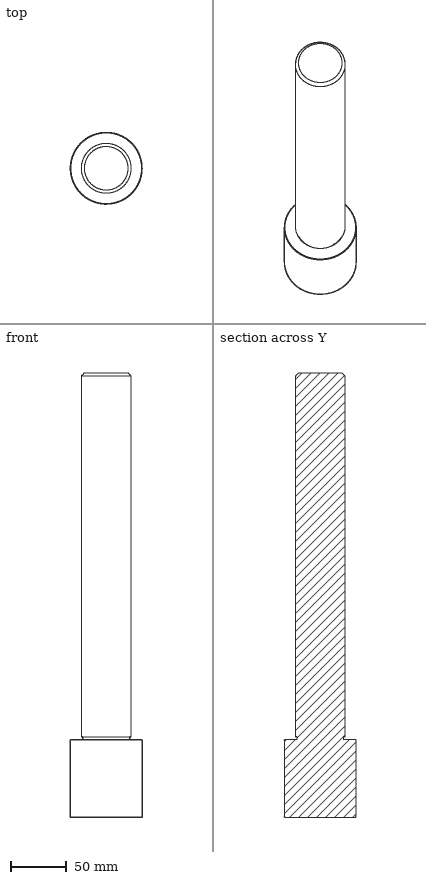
import cadquery as cq

total_height = 400.0
head_diameter = 65.0
head_height = 70.5
head_edge_chamfer = 0.6
shank_diameter = 45.0
shank_tip_chamfer = 3.0
neck_height = 2.5
neck_diameter = 42.5


def make_head():
    """Cylindrical head with both rims lightly broken."""
    head = cq.Workplane("XY").circle(head_diameter / 2).extrude(head_height)
    return head.edges("%CIRCLE").chamfer(head_edge_chamfer)


def make_neck():
    """Short straight relief between the head and the shank."""
    return cq.Workplane("XY").workplane(offset=head_height).circle(neck_diameter / 2).extrude(neck_height)


def make_shank():
    """Long shank with a chamfered tip."""
    shank_start = head_height + neck_height
    shank_length = total_height - shank_start
    shank = cq.Workplane("XY").workplane(offset=shank_start).circle(shank_diameter / 2).extrude(shank_length)
    return shank.faces(">Z").edges().chamfer(shank_tip_chamfer)


result = make_head().union(make_neck()).union(make_shank())